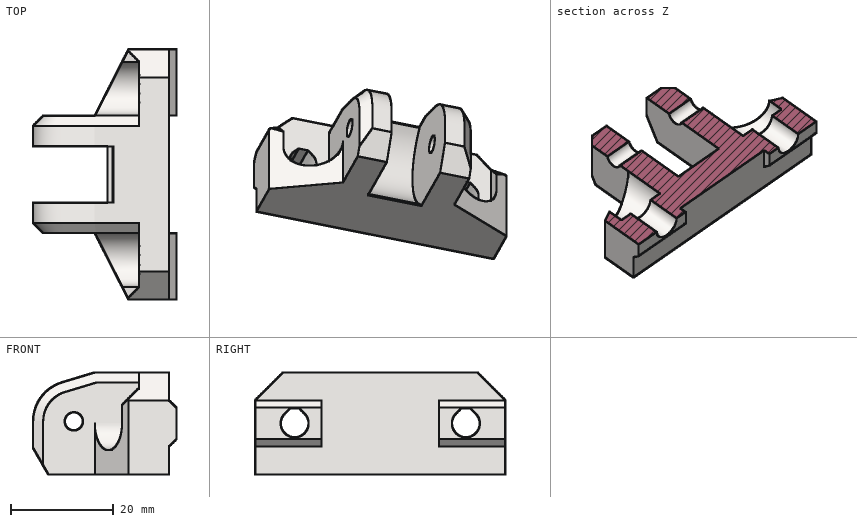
import math

import cadquery as cq

height = 20.0
half_width = 24.5

pad_thickness = 1.45
plate_back = 26.65
plate_front = 20.8
corner_chamfer = 5.5
pad_bottom = 5.5
pad_top = 14.5
pad_bevel = 1.4

hinge_x = 8.0
hinge_z = 10.4
hinge_radius = hinge_x
hinge_hole_diameter = 3.5
lug_outer = 11.5
lug_inner = 5.5
lug_chamfer = 2.0
lug_top_start = 12.1
toe_length = 3.0
toe_angle = 60.0

slot_back = 14.55
relief_radius = 12.0
lip_height = 0.3
lip_run = 0.15

wing_root_x = lug_top_start
wing_tip_x = 18.7

bolt_y = 16.75
bolt_z = 10.0
bolt_diameter = 5.4
bolt_roof_height = 2.87
seat_radius = bolt_y - lug_outer


def box(x0, x1, y0, y1, z0, z1):
    """Axis-aligned box between two corners."""
    return cq.Workplane("XY").box(x1 - x0, y1 - y0, z1 - z0, centered=False).translate((x0, y0, z0))


def prism_along_y(profile, y0, y1):
    """Extrude an XZ profile from y0 to y1."""
    return profile.extrude(-(y1 - y0)).translate((0, y0, 0))


def section_across_y(x0, x1):
    """Full-width YZ section with chamfered upper corners, extruded from x0 to x1."""
    shoulder = half_width - corner_chamfer
    return (
        cq.Workplane("YZ", origin=(x0, 0, 0))
        .moveTo(-half_width, 0)
        .lineTo(half_width, 0)
        .lineTo(half_width, height - corner_chamfer)
        .lineTo(shoulder, height)
        .lineTo(-shoulder, height)
        .lineTo(-half_width, height - corner_chamfer)
        .close()
        .extrude(x1 - x0)
    )


def make_hinge_block():
    """Solid hinge nose, rounded at the pivot and chamfered along its upper side edges."""
    rise = height - hinge_z
    run = lug_top_start - hinge_x
    tangent_angle = math.atan2(rise, run) + math.acos(hinge_radius / math.hypot(run, rise))
    middle_angle = (tangent_angle + math.pi) / 2

    def on_nose(angle):
        return (hinge_x + hinge_radius * math.cos(angle), hinge_z + hinge_radius * math.sin(angle))

    profile = (
        cq.Workplane("XZ")
        .moveTo(0, 0)
        .lineTo(0, hinge_z)
        .threePointArc(on_nose(middle_angle), on_nose(tangent_angle))
        .lineTo(lug_top_start, height)
        .lineTo(plate_front, height)
        .lineTo(plate_front, 0)
        .close()
    )
    block = prism_along_y(profile, -lug_outer, lug_outer)
    block = block.faces("<Y or >Y").edges("not (<Z or >X)").chamfer(lug_chamfer)

    toe_height = toe_length * math.tan(math.radians(toe_angle))
    toe = cq.Workplane("XZ").polyline([(0, 0), (toe_length, 0), (0, toe_height)]).close()
    return block.cut(prism_along_y(toe, -lug_outer, lug_outer))


def make_wings():
    """Tapered wings in front of the plate, each with its outer front corner sliced off."""
    plan = (
        cq.Workplane("XY")
        .moveTo(plate_front, half_width)
        .lineTo(wing_tip_x, half_width)
        .lineTo(wing_root_x, lug_outer)
        .lineTo(wing_root_x, -lug_outer)
        .lineTo(wing_tip_x, -half_width)
        .lineTo(plate_front, -half_width)
        .close()
        .extrude(height)
    )
    wings = plan.intersect(section_across_y(wing_root_x, plate_front))

    slice_top = height - corner_chamfer + half_width - (bolt_y + seat_radius)
    slice_start = plate_front - slice_top
    profile = (
        cq.Workplane("XZ")
        .moveTo(slice_start, 0)
        .lineTo(plate_front, slice_top)
        .lineTo(plate_front, height)
        .lineTo(slice_start, height)
        .close()
    )
    cutter = prism_along_y(profile, bolt_y, half_width)
    return wings.cut(cutter).cut(cutter.mirror("XZ"))


def make_pad():
    """Rear locating pad with bevelled upper and lower edges."""
    pad_back = plate_back + pad_thickness
    profile = (
        cq.Workplane("XZ")
        .moveTo(plate_back, pad_bottom)
        .lineTo(pad_back, pad_bottom + pad_bevel)
        .lineTo(pad_back, pad_top - pad_bevel)
        .lineTo(plate_back, pad_top)
        .close()
    )
    return prism_along_y(profile, lug_outer, half_width)


def make_hinge_relief():
    """Slot between the lugs with a cylindrical back and a small bevelled upper lip."""
    slot = box(0, slot_back, -lug_inner, lug_inner, 0, height)
    sweep = prism_along_y(
        cq.Workplane("XZ").center(hinge_x, hinge_z).circle(relief_radius), -lug_inner, lug_inner
    )
    lip_z = height - lip_height
    lip_x = hinge_x + math.sqrt(relief_radius**2 - (lip_z - hinge_z) ** 2)
    lip_points = [(slot_back, lip_z), (lip_x, lip_z), (lip_x + lip_run, height), (slot_back, height)]
    lip = prism_along_y(cq.Workplane("XZ").polyline(lip_points).close(), -lug_inner, lug_inner)
    return slot.union(sweep).union(lip)


def make_bolt_hole():
    """Bolt hole with a flat roof carried on 45 degree flanks tangent to its round lower part."""
    radius = bolt_diameter / 2
    tangent_offset = radius * math.sqrt(0.5)
    roof_half_width = radius * math.sqrt(2) - bolt_roof_height
    return (
        cq.Workplane("YZ")
        .center(bolt_y, bolt_z)
        .moveTo(tangent_offset, tangent_offset)
        .lineTo(roof_half_width, bolt_roof_height)
        .lineTo(-roof_half_width, bolt_roof_height)
        .lineTo(-tangent_offset, tangent_offset)
        .threePointArc((0, -radius), (tangent_offset, tangent_offset))
        .close()
        .extrude(plate_back + pad_thickness)
    )


def make_bolt_seat():
    """Round-bottomed seat, open upward and forward, with its bolt hole through plate and pad."""
    seat = cq.Workplane("YZ").center(bolt_y, bolt_z).circle(seat_radius).extrude(plate_front)
    opening = box(0, plate_front, bolt_y - seat_radius, bolt_y + seat_radius, bolt_z, height)
    return seat.union(opening).union(make_bolt_hole())


def make_hinge_hole():
    """Pivot pin hole through both lugs."""
    profile = cq.Workplane("XZ").center(hinge_x, hinge_z).circle(hinge_hole_diameter / 2)
    return prism_along_y(profile, -lug_outer, lug_outer)


pad = make_pad()
bolt_seat = make_bolt_seat()

body = make_wings().union(section_across_y(plate_front, plate_back))
body = body.union(pad).union(pad.mirror("XZ"))
body = body.cut(bolt_seat).cut(bolt_seat.mirror("XZ"))
body = body.cut(box(0, plate_front, -lug_outer, lug_outer, 0, height))
body = body.union(make_hinge_block())
result = body.cut(make_hinge_relief()).cut(make_hinge_hole())